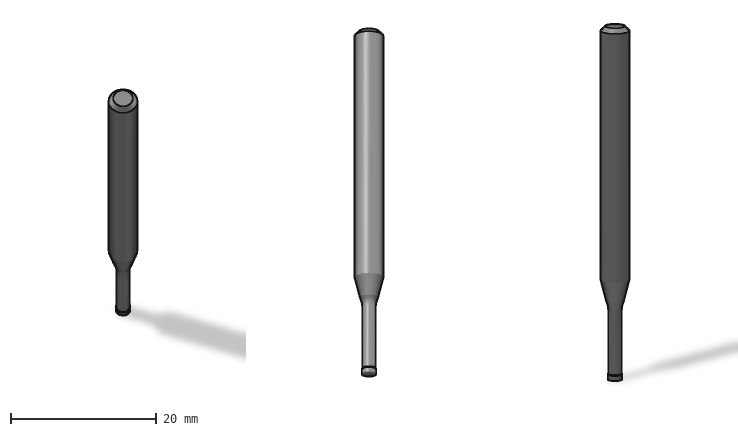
import cadquery as cq

total_length = 50.0

head_radius = 1.0
head_height = 0.75
tip_corner_radius = 0.15

neck_radius = 0.95
neck_base_taper_height = 0.15
neck_top = 9.55

flare_top = 11.2
flare_top_radius = 1.25
flare_mid_radius = 1.0
cone_top = 14.15

shank_radius = 2.0
shank_chamfer = 0.65


def make_head():
    """Short cylindrical cutting head with a rounded lower corner."""
    return (
        cq.Workplane("XY")
        .circle(head_radius)
        .extrude(head_height)
        .faces("<Z")
        .edges()
        .fillet(tip_corner_radius)
    )


def make_shank():
    """Shank and neck in one piece, seated on the flat top of the head."""
    neck_bottom = head_height + neck_base_taper_height
    flare_middle = (neck_top + flare_top) / 2
    return (
        cq.Workplane("YZ")
        .moveTo(0, head_height)
        .lineTo(-head_radius, head_height)
        .lineTo(-neck_radius, neck_bottom)
        .lineTo(-neck_radius, neck_top)
        .threePointArc((-flare_mid_radius, flare_middle), (-flare_top_radius, flare_top))
        .lineTo(-shank_radius, cone_top)
        .lineTo(-shank_radius, total_length - shank_chamfer)
        .lineTo(-(shank_radius - shank_chamfer), total_length)
        .lineTo(0, total_length)
        .close()
        .revolve(360, (0, 0), (0, 1))
    )


head = make_head()
shank = make_shank()

result = cq.Compound.makeCompound([head.val(), shank.val()])